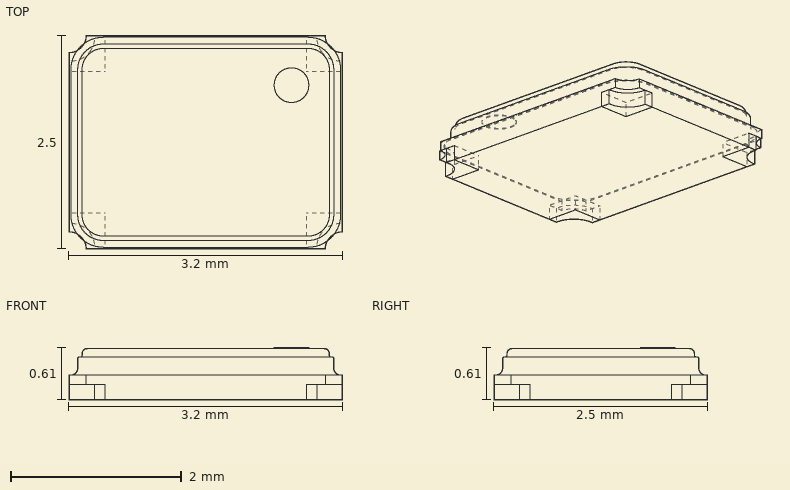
import cadquery as cq
import math

length = 3.2
width = 2.5
base_height = 0.29
base_notch_radius = 0.2

pad_size = 0.42
pad_height = 0.18
pad_notch_size = 0.298
pad_notch_flat = 0.025

lid_corner_inset = 0.4
wall_inset = 0.1
crown_inset = 0.15
ledge_height = 0.502
lid_top = 0.6
flare_radius = 0.08
ledge_radius = 0.02
crown_radius = 0.06

marker_diameter = 0.405
marker_x = 1.005
marker_y = 0.67
marker_thickness = 0.01

corner_signs = [(sx, sy) for sx in (-1, 1) for sy in (-1, 1)]


def rounded_block(inset, bottom, top):
    """Block set in from the base sides, with concentric rounded corners."""
    block = cq.Workplane("XY", origin=(0, 0, bottom)).rect(length - 2 * inset, width - 2 * inset)
    return block.extrude(top - bottom).edges("|Z").fillet(lid_corner_inset - inset)


def make_pad(sign_x, sign_y):
    """Square corner pad whose outer corner is scooped away by an arc with a short flat at each end."""
    def point(from_end, from_side):
        return (sign_x * (length / 2 - from_end), sign_y * (width / 2 - from_side))

    scoop_radius = pad_notch_size - pad_notch_flat
    arc_middle = pad_notch_flat + scoop_radius * math.cos(math.radians(45))
    outline = (
        cq.Workplane("XY")
        .moveTo(*point(pad_size, 0))
        .lineTo(*point(pad_notch_size, 0))
        .lineTo(*point(pad_notch_size, pad_notch_flat))
        .threePointArc(point(arc_middle, arc_middle), point(pad_notch_flat, pad_notch_size))
        .lineTo(*point(0, pad_notch_size))
        .lineTo(*point(0, pad_size))
        .lineTo(*point(pad_size, pad_size))
        .close()
    )
    return outline.extrude(pad_height)


def make_base():
    """Plate with a round notch at each corner and a square recess below it for each pad."""
    plate = cq.Workplane("XY").box(length, width, base_height, centered=(True, True, False))
    corners = [(sx * length / 2, sy * width / 2) for sx, sy in corner_signs]
    notches = cq.Workplane("XY").pushPoints(corners).circle(base_notch_radius).extrude(base_height)
    recesses = cq.Workplane("XY").pushPoints(corners).rect(2 * pad_size, 2 * pad_size).extrude(pad_height)
    return plate.cut(notches).cut(recesses)


def round_loop(body, inset, height, radius):
    """Fillet the closed loop at this inset and height; its other edges follow by tangency."""
    long_edge_middle = (0, width / 2 - inset, height)
    return body.edges(cq.selectors.NearestToPointSelector(long_edge_middle)).fillet(radius)


def make_lid():
    """Flared foot, straight wall, rounded ledge and rounded crown, with the marker disc on top."""
    carrier = cq.Workplane("XY").box(length, width, base_height, centered=(True, True, False))
    wall = rounded_block(wall_inset, base_height, ledge_height)
    crown = rounded_block(crown_inset, ledge_height, lid_top)
    lid = carrier.union(wall).union(crown)
    lid = round_loop(lid, wall_inset, base_height, flare_radius)
    lid = round_loop(lid, wall_inset, ledge_height, ledge_radius)
    lid = round_loop(lid, crown_inset, ledge_height, ledge_radius)
    lid = round_loop(lid, crown_inset, lid_top, crown_radius)
    lid = lid.cut(carrier)

    marker = cq.Workplane("XY", origin=(marker_x, marker_y, lid_top)).circle(marker_diameter / 2)
    return lid.union(marker.extrude(marker_thickness))


base = make_base()
lid = make_lid()
pads = [make_pad(sign_x, sign_y).val() for sign_x, sign_y in corner_signs]

result = cq.Compound.makeCompound([base.val(), lid.val(), *pads])